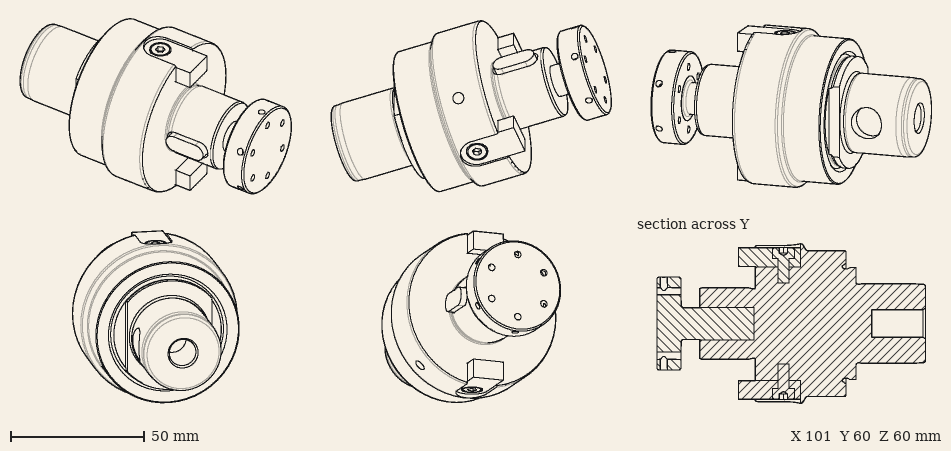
import cadquery as cq
import math


shank_radius = 30.0 / 2
shank_lead_radius = 29.6 / 2
shank_edge_fillet = 1.0
shank_lead_end = 1.9
shank_cone_end = 4.0
shank_end = 24.1
relief_start = 24.9
relief_radius = 14.7
relief_end_radius = 15.5
relief_arc_radius = 1.4
bore_diameter = 10.2
bore_mouth_diameter = 11.5
bore_depth = 20.2
bore_chamfer_depth = 1.0
side_hole_diameter = 12.0
side_hole_x = 15.8
side_hole_bottom = 9.1

collar_start = 26.2
collar_end = 28.5
collar_radius = 21.1
neck_start = 29.5
neck_radius = 20.6
flat_distance = 16.2
flat_end = 30.2
neck_end = 30.3
face_groove_outer_radius = 22.7
face_groove_fillet = 1.0

flange_start = 29.9
flange_end = 44.4
flange_radius = 27.5
flange_chamfer = 0.4
ring_radius = 30.0
ring_cone_angle = math.radians(60)
ring_cone_root_radius = 0.7
ring_cone_crest_radius = 0.9
ring_end = 64.0
ring_front_length = 1.0
ring_front_drop = 0.4
ring_front_arc_radius = (ring_front_length**2 + ring_front_drop**2) / (2 * ring_front_drop)

undercut_radius = 26.3 / 2
undercut_end = 65.1
undercut_fillet = 0.4
nose_start = 66.6
nose_radius = 27.0 / 2
nose_end = 84.9
nose_chamfer_length = 0.9
nose_chamfer_height = 0.3

dog_width = 12.0
dog_center_x = 53.1
dog_front = 70.4
dog_bottom = 21.4
dog_top = 28.5
screw_x = 53.4
screw_head_diameter = 8.0
screw_head_height = 4.0
screw_head_chamfer = 0.5
screw_shank_diameter = 4.0
screw_shank_length = 9.1
socket_sides = 6
socket_width = 3.0
socket_depth = 2.0
dog_angles = (0, 180)

key_width = 7.0
key_length = 16.5
keyway_length = 18.2
key_center_x = 73.8
key_inner_distance = 8.6
key_outer_distance = 15.5

plug_diameter = 4.2
plug_x = 53.9
plug_length = 6.1
plug_angle = 135

bolt_shank_radius = 12.0 / 2
bolt_tip_x = 64.6
head_start = 91.9
head_end = 101.0
head_radius = 35.0 / 2
head_edge = 0.6
bolt_fillet = 0.9
pad_radius = 17.0 / 2
pad_height = 0.1
head_hole_count = 6
radial_hole_diameter = 2.5
radial_hole_x = 98.4
radial_hole_depth = 5.0
axial_hole_diameter = 2.5
axial_hole_circle_radius = 12.1

drill_half_angle = math.radians(59)
radial_clearance = 1.0


def turn(profile):
    """Revolve a closed XY outline around the X axis."""
    return profile.revolve(360, (0, 0, 0), (1, 0, 0))


def rod_x(radius, start, end):
    """Cylinder along the X axis."""
    return cq.Workplane("YZ", origin=(start, 0, 0)).circle(radius).extrude(end - start)


def rod_z(diameter, x, bottom, top):
    """Vertical cylinder in the plane Y = 0."""
    return cq.Workplane("XY", origin=(x, 0, bottom)).circle(diameter / 2).extrude(top - bottom)


def drilled_hole_z(diameter, x, top, depth):
    """Vertical blind hole, entering from above, with a drill-point bottom."""
    radius = diameter / 2
    point = radius / math.tan(drill_half_angle)
    return (
        cq.Workplane("XZ", origin=(x, 0, 0))
        .moveTo(0, top)
        .lineTo(radius, top)
        .lineTo(radius, top - depth)
        .lineTo(0, top - depth - point)
        .close()
        .revolve(360, (0, 0, 0), (0, 1, 0))
    )


def around_x(body, angle):
    """Turn a body about the X axis by an angle in degrees."""
    return body.rotate((0, 0, 0), (1, 0, 0), angle)



def dog_block(bottom, height):
    """Block round at the rear and square at the front."""
    half = dog_width / 2
    return (
        cq.Workplane("XY", origin=(0, 0, bottom))
        .moveTo(dog_center_x, -half)
        .lineTo(dog_front, -half)
        .lineTo(dog_front, half)
        .lineTo(dog_center_x, half)
        .threePointArc((dog_center_x - half, 0), (dog_center_x, -half))
        .close()
        .extrude(height)
    )


def screw_blank():
    """Plain screw head and shank, which also shape the holes for them."""
    head_bottom = dog_top - screw_head_height
    head = rod_z(screw_head_diameter, screw_x, head_bottom, dog_top)
    shank = rod_z(screw_shank_diameter, screw_x, head_bottom - screw_shank_length, head_bottom)
    return head.union(shank)


def key_block(length):
    """Round-ended block on the -Y side of the nose."""
    return (
        cq.Workplane("XZ", origin=(key_center_x, -key_inner_distance, 0))
        .slot2D(length, key_width)
        .extrude(key_outer_distance - key_inner_distance)
    )


def plug_blank():
    """Radial rod reaching past the surface of the drive ring."""
    rod = rod_z(plug_diameter, plug_x, ring_radius - plug_length, ring_radius + radial_clearance)
    return around_x(rod, plug_angle)



def arbor_blank():
    arc_length = math.sin(ring_cone_angle)
    arc_rise = 1 - math.cos(ring_cone_angle)
    cone_bottom_x = flange_end + ring_cone_root_radius * arc_length
    cone_bottom_radius = flange_radius + ring_cone_root_radius * arc_rise
    cone_top_radius = ring_radius - ring_cone_crest_radius * arc_rise
    cone_top_x = cone_bottom_x + (cone_top_radius - cone_bottom_radius) / math.tan(ring_cone_angle)
    ring_start = cone_top_x + ring_cone_crest_radius * arc_length
    return turn(
        cq.Workplane("XY")
        .lineTo(0, shank_lead_radius - shank_edge_fillet)
        .radiusArc((shank_edge_fillet, shank_lead_radius), shank_edge_fillet)
        .lineTo(shank_lead_end, shank_lead_radius)
        .lineTo(shank_cone_end, shank_radius)
        .lineTo(shank_end, shank_radius)
        .lineTo(relief_start, relief_radius)
        .radiusArc((collar_start, relief_end_radius), -relief_arc_radius)
        .lineTo(collar_start, collar_radius)
        .lineTo(collar_end, collar_radius)
        .lineTo(neck_start, neck_radius)
        .lineTo(neck_end, neck_radius)
        .radiusArc((neck_end + face_groove_fillet, neck_radius + face_groove_fillet), -face_groove_fillet)
        .lineTo(flange_start, face_groove_outer_radius)
        .lineTo(flange_start, flange_radius - flange_chamfer)
        .lineTo(flange_start + flange_chamfer, flange_radius)
        .lineTo(flange_end, flange_radius)
        .radiusArc((cone_bottom_x, cone_bottom_radius), -ring_cone_root_radius)
        .lineTo(cone_top_x, cone_top_radius)
        .radiusArc((ring_start, ring_radius), ring_cone_crest_radius)
        .lineTo(ring_end - ring_front_length, ring_radius)
        .radiusArc((ring_end, ring_radius - ring_front_drop), ring_front_arc_radius)
        .lineTo(ring_end, undercut_radius + undercut_fillet)
        .radiusArc((ring_end + undercut_fillet, undercut_radius), -undercut_fillet)
        .lineTo(undercut_end, undercut_radius)
        .lineTo(nose_start, nose_radius)
        .lineTo(nose_end - nose_chamfer_length, nose_radius)
        .lineTo(nose_end, nose_radius - nose_chamfer_height)
        .lineTo(nose_end, 0)
        .close()
    )


def rear_bore():
    """Blind axial bore with a chamfered mouth."""
    return turn(
        cq.Workplane("XY")
        .lineTo(0, bore_mouth_diameter / 2)
        .lineTo(bore_chamfer_depth, bore_diameter / 2)
        .lineTo(bore_depth, bore_diameter / 2)
        .lineTo(bore_depth, 0)
        .close()
    )


def collar_flats():
    """Material outside the two wrench flats."""
    length = flat_end - collar_start
    depth = collar_radius - flat_distance
    flats = cq.Workplane("XY")
    for side in (-1, 1):
        center_y = side * (flat_distance + depth / 2)
        flats = flats.union(
            cq.Workplane("XY", origin=(collar_start + length / 2, center_y, 0))
            .box(length, depth, 2 * collar_radius)
            .intersect(rod_x(collar_radius, collar_start, flat_end))
        )
    return flats


def side_hole():
    """Round blind hole in the +Y side of the shank."""
    return (
        cq.Workplane("XZ", origin=(side_hole_x, side_hole_bottom, 0))
        .circle(side_hole_diameter / 2)
        .extrude(side_hole_bottom - shank_radius)
    )


def make_arbor():
    arbor = arbor_blank().cut(rear_bore()).cut(side_hole()).cut(collar_flats())
    arbor = arbor.cut(rod_x(bolt_shank_radius, bolt_tip_x, nose_end))
    arbor = arbor.cut(key_block(keyway_length)).cut(plug_blank())
    dog_pocket = dog_block(dog_bottom, ring_radius + radial_clearance - dog_bottom)
    for angle in dog_angles:
        arbor = arbor.cut(around_x(dog_pocket, angle)).cut(around_x(screw_blank(), angle))
    return arbor



def make_dog():
    return dog_block(dog_bottom, dog_top - dog_bottom).cut(screw_blank())


def make_screw():
    """Screw with a hexagon socket that ends in a drill point."""
    screw = screw_blank().faces(">Z").edges().chamfer(screw_head_chamfer)
    socket = (
        cq.Workplane("XY", origin=(screw_x, 0, dog_top))
        .polygon(socket_sides, socket_width, circumscribed=True)
        .extrude(-socket_depth)
    )
    pilot = drilled_hole_z(socket_width, screw_x, dog_top, socket_depth)
    return screw.cut(socket).cut(pilot)


def make_plug():
    """Plug with its outer end flush with the drive ring."""
    return plug_blank().intersect(rod_x(ring_radius, flange_end, ring_end))



def make_bolt():
    """Bolt with a round head, radial spanner holes and axial through holes."""
    pad_start = head_start - pad_height
    bolt = turn(
        cq.Workplane("XY")
        .moveTo(bolt_tip_x, 0)
        .lineTo(bolt_tip_x, bolt_shank_radius)
        .lineTo(pad_start - bolt_fillet, bolt_shank_radius)
        .radiusArc((pad_start, bolt_shank_radius + bolt_fillet), -bolt_fillet)
        .lineTo(pad_start, pad_radius)
        .lineTo(head_start, pad_radius)
        .lineTo(head_start, head_radius - head_edge)
        .lineTo(head_start + head_edge, head_radius)
        .lineTo(head_end - head_edge, head_radius)
        .lineTo(head_end, head_radius - head_edge)
        .lineTo(head_end, 0)
        .close()
    )
    radial_hole = drilled_hole_z(radial_hole_diameter, radial_hole_x, head_radius, radial_hole_depth)
    axial_hole = rod_x(axial_hole_diameter / 2, head_start, head_end)
    axial_hole = axial_hole.translate((0, 0, axial_hole_circle_radius))
    for index in range(head_hole_count):
        angle = index * 360 / head_hole_count
        bolt = bolt.cut(around_x(radial_hole, angle)).cut(around_x(axial_hole, angle))
    return bolt


arbor = make_arbor()
dogs = [around_x(make_dog(), angle) for angle in dog_angles]
screws = [around_x(make_screw(), angle) for angle in dog_angles]
key = key_block(key_length)
plug = make_plug()
bolt = make_bolt()

result = cq.Compound.makeCompound(
    [
        arbor.val(),
        *[dog.val() for dog in dogs],
        *[screw.val() for screw in screws],
        key.val(),
        plug.val(),
        bolt.val(),
    ]
)